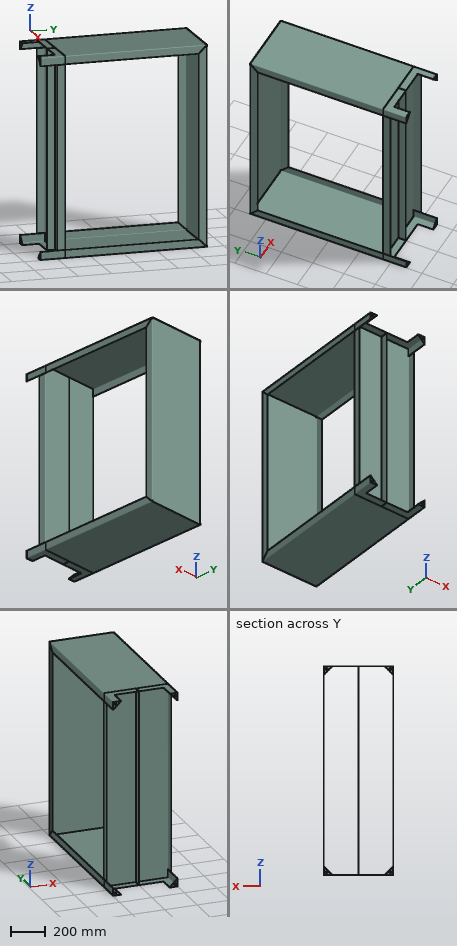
import cadquery as cq

HEIGHT = 1200.0
WIDTH = HEIGHT / 3
DEPTH = HEIGHT * 5 / 6

SHEET = 1.5
BEND_RADIUS = 4.5
FLANGE = 49.0

CORNER_RELIEF = 7.8
LEG_LENGTH = 100.0

PANEL_DEPTH = 49.0
PANEL_SETBACK = 1.0
NOTCH_HEIGHT = 50.0

GUSSET_LEG = 47.0
HOLE_DIAMETER = 10.0
HOLE_INSET = 17.0

FRONT_Y = -DEPTH / 2
BACK_Y = DEPTH / 2
SIDE_X = WIDTH / 2
TOP_Z = HEIGHT / 2
PANEL_BACK_Y = FRONT_Y + LEG_LENGTH + PANEL_SETBACK + PANEL_DEPTH
PANEL_HEIGHT = HEIGHT - 2 * SHEET
BOTH_ENDS = (-1, 1)


def channel(width, depth, length, bent_edges="|Z and >Y"):
    """U channel along Z, web outside on Y = 0, flanges toward -Y; the bent edges are rounded."""
    outside = cq.Workplane("XY").box(width, depth, length).translate((0, -depth / 2, 0))
    inside = (
        cq.Workplane("XY")
        .box(width - 2 * SHEET, depth, length)
        .translate((0, -depth / 2 - SHEET, 0))
    )
    outside = outside.edges(bent_edges).fillet(BEND_RADIUS)
    inside = inside.edges(bent_edges).fillet(BEND_RADIUS - SHEET)
    return outside.cut(inside)


def side_profile(points):
    """Prism over the full width with the given (Y, Z) outline."""
    return cq.Workplane("YZ").polyline(points).close().extrude(SIDE_X, both=True)


def make_back():
    """Back channel: flanges mitred at both ends, web running on between the top and bottom webs."""
    relief_y, relief_z = BACK_Y - CORNER_RELIEF, TOP_Z - CORNER_RELIEF
    inner_y, inner_z = BACK_Y - FLANGE, TOP_Z - FLANGE
    mitred = side_profile(
        [
            (BACK_Y, -relief_z),
            (BACK_Y, relief_z),
            (relief_y, relief_z),
            (inner_y, inner_z),
            (inner_y, -inner_z),
            (relief_y, -relief_z),
        ]
    )
    web_strip = (
        cq.Workplane("XY")
        .box(WIDTH - 2 * BEND_RADIUS, 2 * SHEET, PANEL_HEIGHT)
        .translate((0, BACK_Y, 0))
    )
    return channel(WIDTH, FLANGE, HEIGHT).translate((0, BACK_Y, 0)).intersect(mitred.union(web_strip))


def make_top():
    """Top channel: flanges mitred at the back, web cut out at the front to leave two angle legs."""
    relief_y, relief_z = BACK_Y - CORNER_RELIEF, TOP_Z - CORNER_RELIEF
    inner_y, inner_z = BACK_Y - FLANGE, TOP_Z - FLANGE
    mitred = side_profile(
        [
            (FRONT_Y, TOP_Z),
            (BACK_Y, TOP_Z),
            (BACK_Y, relief_z),
            (relief_y, relief_z),
            (inner_y, inner_z),
            (FRONT_Y, inner_z),
        ]
    )
    front_cutout = (
        cq.Workplane("XY")
        .box(WIDTH - 2 * FLANGE, 2 * LEG_LENGTH, 2 * FLANGE)
        .translate((0, FRONT_Y, TOP_Z))
    )
    lying = channel(WIDTH, FLANGE, DEPTH).rotate((0, 0, 0), (1, 0, 0), 90).translate((0, 0, TOP_Z))
    return lying.intersect(mitred).cut(front_cutout)


def make_panel(side):
    """Door panel: outer fold rounded, outer flange notched at both ends to clear the frame flanges."""
    panel = channel(SIDE_X, PANEL_DEPTH, PANEL_HEIGHT, "|Z and >Y and >X")
    panel = panel.translate((SIDE_X / 2, PANEL_BACK_Y, 0))
    for end in BOTH_ENDS:
        notch = (
            cq.Workplane("XY")
            .box(2 * BEND_RADIUS, 2 * PANEL_DEPTH, 2 * NOTCH_HEIGHT)
            .translate((SIDE_X, PANEL_BACK_Y - PANEL_DEPTH / 2, end * TOP_Z))
        )
        panel = panel.cut(notch)
    return panel if side > 0 else panel.mirror("YZ")


def make_gusset(side, end):
    """Triangular plate with one hole, closing the front of a leg; its corner is cut to clear the fold."""
    corner_x = SIDE_X - 2 * SHEET
    corner_z = TOP_Z - SHEET
    outline = [
        (SIDE_X - BEND_RADIUS, corner_z),
        (corner_x - GUSSET_LEG, corner_z),
        (corner_x, corner_z - GUSSET_LEG),
        (corner_x, TOP_Z - BEND_RADIUS),
    ]
    plate = cq.Workplane("XZ", origin=(0, FRONT_Y, 0)).polyline(outline).close().extrude(-SHEET)
    hole = (
        cq.Workplane("XZ", origin=(SIDE_X - HOLE_INSET, FRONT_Y, TOP_Z - HOLE_INSET))
        .circle(HOLE_DIAMETER / 2)
        .extrude(-SHEET)
    )
    gusset = plate.cut(hole)
    if side < 0:
        gusset = gusset.mirror("YZ")
    return gusset if end > 0 else gusset.mirror("XY")


back = make_back()
top = make_top()
bottom = top.mirror("XY")
panels = [make_panel(side) for side in BOTH_ENDS]
gussets = [make_gusset(side, end) for side in BOTH_ENDS for end in BOTH_ENDS]

result = cq.Compound.makeCompound(
    [
        back.val(),
        top.val(),
        bottom.val(),
        *[panel.val() for panel in panels],
        *[gusset.val() for gusset in gussets],
    ]
)